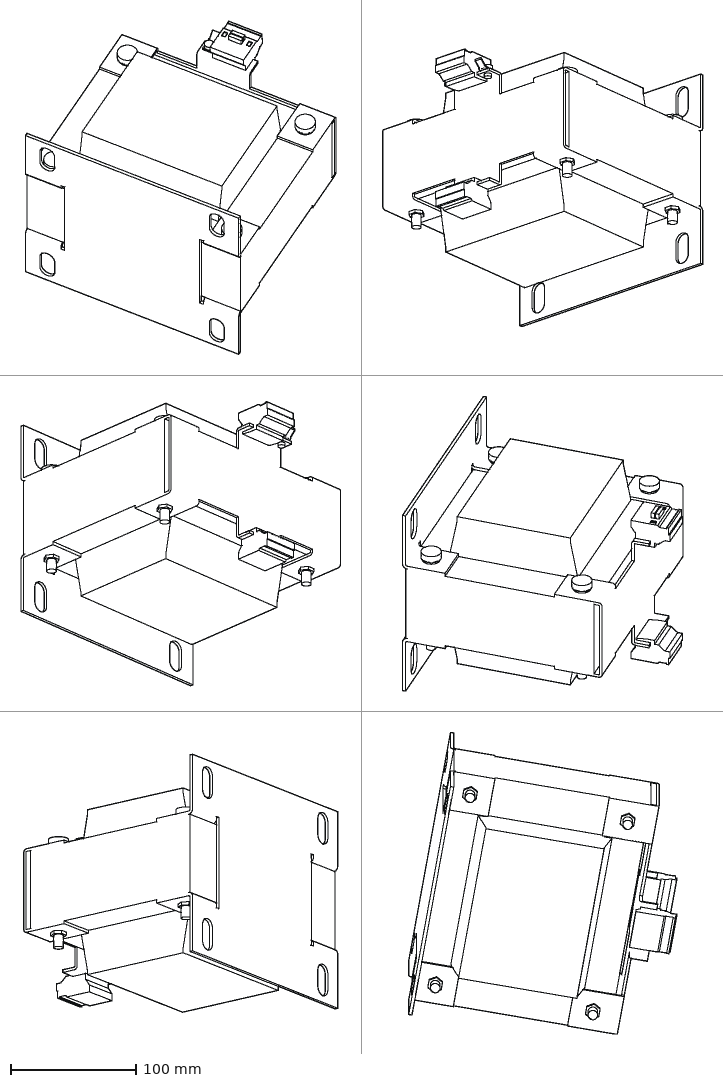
import cadquery as cq

width = 192.0
plate_height = 165.0
plate_sheet = 2.8
bracket_sheet = 2.4
leg_width = 32.0

core_depth = 160.0
core_half_height = 32.7
core_front = plate_sheet
core_back = core_front + core_depth
window_front = core_front + leg_width
window_back = core_back - leg_width
window_width = width - 2 * leg_width

coil_width = 125.9
coil_half_height = 69.2
coil_shoulder = 65.5
coil_overhang = 6.3

plate_bend_radius = 4.2
plate_tab_end = 36.3
cutout_clearance = 3.2
cutout_half_height = 38.3
slot_width = 13.0
slot_length = 26.2
slot_x = 76.3
slot_z = 63.6

bracket_back = 169.7
bracket_wall_top = 30.3
bracket_bend_radius = 3.0
bracket_tab_front = 129.0
shelf_left = -28.3
shelf_right = 19.5
shelf_end = 182.0
shelf_height = 49.0

bolt_x = width / 2 - leg_width / 2
head_diameter = 16.3
head_height = 5.7
neck_diameter = 14.3
neck_height = 2.0
nut_across_flats = 11.0
nut_height = 2.5
shank_diameter = 7.7
shank_length = 83.0

terminal_half_width = 15.0
terminal_top = 65.0
terminal_back = 198.2
rib_length = 11.5
rib_top = 69.5
rib_spans = ((179.0, 182.0), (182.7, 185.7))
pocket_x = 11.1
pocket_y = 182.7
pocket_width = 3.0
pocket_length = 4.5
pocket_depth = 1.0

lug_x = -22.0
lug_width = 7.7
lug_front = 172.6
lug_bend = 182.3
lug_shoulder = 183.5
lug_tip = 188.9
lug_tip_width = 6.3
lug_rise = 6.3
lug_sheet = 1.4
lug_screw_y = 176.8
lug_head_diameter = 7.7
lug_head_height = 3.4
lug_shank_diameter = 6.0
lug_shank_end = 44.2


def box(x0, x1, y0, y1, z0, z1):
    return cq.Workplane("XY").box(x1 - x0, y1 - y0, z1 - z0, centered=False).translate((x0, y0, z0))


def rod(diameter, x, y, z0, z1):
    return cq.Workplane("XY").center(x, y).circle(diameter / 2).extrude(z1 - z0).translate((0, 0, z0))


def side_sketch(x):
    """Plane across X, drawn in (Y, Z) coordinates."""
    return cq.Workplane("YZ", origin=(x, 0, 0))


def mirrored(body, plane):
    return body.union(body.mirror(plane))


def make_core():
    core = box(-width / 2, width / 2, core_front, core_back, -core_half_height, core_half_height)
    window = box(
        -window_width / 2, window_width / 2, window_front, window_back, -core_half_height, core_half_height
    )
    return core.cut(window)


def make_coil():
    """Winding through the core window; its ends flare out over the yokes."""
    upper_half = [
        (window_front, 0),
        (window_front, core_half_height),
        (window_front - coil_overhang, core_half_height),
        (window_front, coil_shoulder),
        (window_front, coil_half_height),
        (window_back, coil_half_height),
        (window_back, coil_shoulder),
        (window_back + coil_overhang, core_half_height),
        (window_back, core_half_height),
        (window_back, 0),
    ]
    half = side_sketch(-coil_width / 2).polyline(upper_half).close().extrude(coil_width)
    return mirrored(half, "XY")


def make_plate():
    """Front plate with four slots and four tabs bent back over the core."""
    plate = box(-width / 2, width / 2, 0, plate_sheet, -plate_height / 2, plate_height / 2)
    slots = (
        cq.Workplane("XZ")
        .pushPoints([(x, z) for x in (-slot_x, slot_x) for z in (-slot_z, slot_z)])
        .slot2D(slot_length, slot_width, 90)
        .extrude(-plate_sheet)
    )
    cutout_inner = window_width / 2 - cutout_clearance
    cutout = box(cutout_inner, width / 2, 0, plate_sheet, -cutout_half_height, cutout_half_height)
    plate = plate.cut(slots).cut(mirrored(cutout, "YZ"))

    bottom = core_half_height
    top = bottom + plate_sheet
    bend_end = bottom + plate_bend_radius
    inner_radius = plate_bend_radius - plate_sheet
    diagonal = 0.5 ** 0.5
    bend_y = plate_bend_radius
    tab = (
        side_sketch(window_width / 2)
        .moveTo(0, cutout_half_height)
        .lineTo(0, bend_end)
        .threePointArc(
            (bend_y - plate_bend_radius * diagonal, bend_end - plate_bend_radius * diagonal),
            (bend_y, bottom),
        )
        .lineTo(plate_tab_end, bottom)
        .lineTo(plate_tab_end, top)
        .lineTo(bend_y, top)
        .threePointArc(
            (bend_y - inner_radius * diagonal, bend_end - inner_radius * diagonal),
            (plate_sheet, bend_end),
        )
        .lineTo(plate_sheet, cutout_half_height)
        .close()
        .extrude(leg_width)
    )
    return plate.union(mirrored(mirrored(tab, "YZ"), "XY"))


def make_bracket():
    """Rear channel gripping the core, with a shelf bent back at top and bottom."""
    inner_face = bracket_back - bracket_sheet
    tab_top = core_half_height + bracket_sheet
    inner_radius = bracket_bend_radius - bracket_sheet
    wall = box(-width / 2, width / 2, inner_face, bracket_back, 0, bracket_wall_top)

    tab = box(window_width / 2, width / 2, bracket_tab_front, bracket_back, 0, tab_top)
    tab = tab.edges("|X and >Y and >Z").fillet(bracket_bend_radius)
    under_tab = box(window_width / 2, width / 2, bracket_tab_front, inner_face, 0, core_half_height)
    under_tab = under_tab.edges("|X and >Y and >Z").fillet(inner_radius)
    tab = tab.cut(under_tab)

    shelf_bottom = shelf_height - bracket_sheet
    shelf = box(shelf_left, shelf_right, inner_face, shelf_end, 0, shelf_height)
    shelf = shelf.edges("|X and <Y and >Z").fillet(bracket_bend_radius)
    under_shelf = box(shelf_left, shelf_right, bracket_back, shelf_end, 0, shelf_bottom)
    under_shelf = under_shelf.edges("|X and <Y and >Z").fillet(inner_radius)
    shelf = shelf.cut(under_shelf)

    return mirrored(wall.union(mirrored(tab, "YZ")).union(shelf), "XY")


def make_bolt(x, y, sheet):
    """Bolt through the core, clamping tabs of the given sheet thickness."""
    seat = core_half_height + sheet
    head_base = seat + neck_height
    bolt = rod(shank_diameter, x, y, seat - shank_length, seat)
    bolt = bolt.union(rod(neck_diameter, x, y, seat, head_base))
    bolt = bolt.union(rod(head_diameter, x, y, head_base, head_base + head_height))
    nut = (
        cq.Workplane("XY", origin=(x, y, -seat - nut_height))
        .transformed(rotate=(0, 0, 90))
        .polygon(6, nut_across_flats, circumscribed=True)
        .extrude(nut_height)
    )
    return bolt.union(nut)


def make_terminal():
    """Terminal block clipped on the upper shelf, without its top details."""
    profile = [
        (165.1, terminal_top),
        (165.1, 59.3),
        (168.9, 54.0),
        (168.9, 45.0),
        (178.5, 43.8),
        (185.3, 43.8),
        (185.3, 47.4),
        (188.7, 47.4),
        (192.3, 50.7),
        (194.2, 52.0),
        (terminal_back, 52.0),
        (terminal_back, 58.0),
        (197.2, 58.0),
        (197.2, 64.2),
        (195.2, 64.2),
        (195.2, 63.5),
        (189.3, 63.5),
        (187.9, terminal_top),
    ]
    return side_sketch(-terminal_half_width).polyline(profile).close().extrude(2 * terminal_half_width)


def add_terminal_details(terminal):
    """Two ribs and two small pockets on top of the block."""
    for y0, y1 in rib_spans:
        terminal = terminal.union(box(-rib_length / 2, rib_length / 2, y0, y1, terminal_top, rib_top))
    pockets = (
        cq.Workplane("XY", origin=(0, pocket_y, terminal_top))
        .pushPoints([(-pocket_x, 0), (pocket_x, 0)])
        .rect(pocket_width, pocket_length)
        .extrude(-pocket_depth)
    )
    return terminal.cut(pockets)


def make_lug():
    """Earth lug with an upturned, narrower tongue, held by a screw."""
    top = shelf_height + lug_sheet
    profile = [
        (lug_front, shelf_height),
        (lug_bend, shelf_height),
        (lug_tip, shelf_height + lug_rise),
        (lug_tip, top + lug_rise),
        (lug_bend, top),
        (lug_front, top),
    ]
    lug = side_sketch(lug_x - lug_width / 2).polyline(profile).close().extrude(lug_width)
    trim = box(lug_tip_width / 2, lug_width / 2, lug_shoulder, lug_tip, shelf_height, top + lug_rise)
    lug = lug.cut(mirrored(trim, "YZ").translate((lug_x, 0, 0)))
    head = rod(lug_head_diameter, lug_x, lug_screw_y, top, top + lug_head_height)
    shank = rod(lug_shank_diameter, lug_x, lug_screw_y, lug_shank_end, top)
    return lug.union(head).union(shank)


result = make_core().union(make_coil()).union(make_plate()).union(make_bracket())

bolt_rows = (
    (core_front + leg_width / 2, plate_sheet),
    (core_back - leg_width / 2, bracket_sheet),
)
for bolt_y, clamped_sheet in bolt_rows:
    for x in (-bolt_x, bolt_x):
        result = result.union(make_bolt(x, bolt_y, clamped_sheet))

lower_terminal = make_terminal().mirror("XY")
upper_terminal = add_terminal_details(make_terminal())
result = result.union(lower_terminal).union(upper_terminal).union(make_lug())